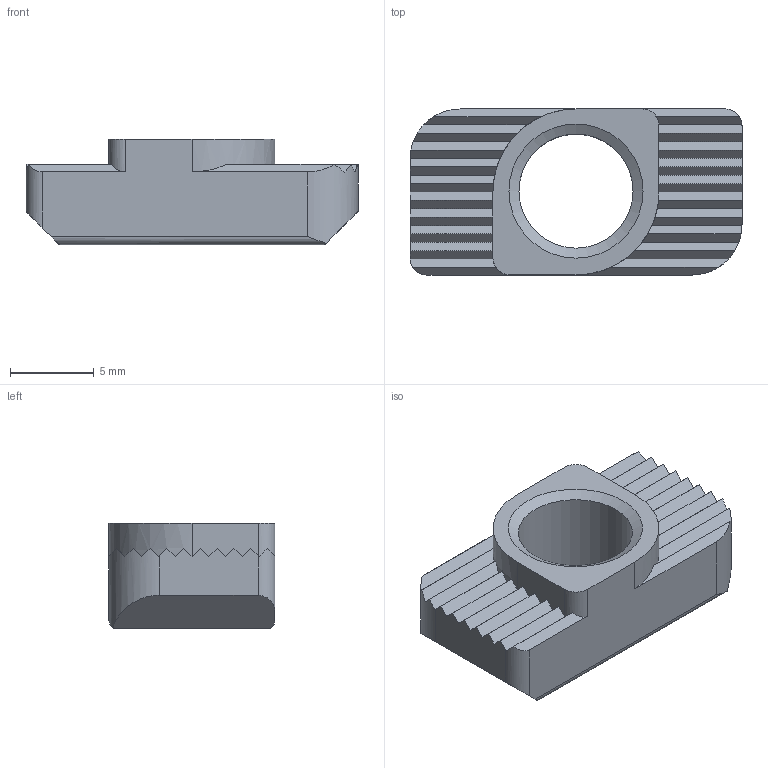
import cadquery as cq
import math

LENGTH = 19.8
WIDTH = 9.9
HEIGHT = 6.3

BODY_HEIGHT = 4.8
BODY_LARGE_RADIUS = 3.0
SMALL_RADIUS = 1.0
END_CHAMFER = 2.0
EDGE_RADIUS = 0.5

TOOTH_PITCH = 1.0
TOOTH_DEPTH = 0.5
GROOVE_COUNT = 11

BOSS_SIZE = WIDTH
BOSS_BASE = END_CHAMFER
HOLE_DIAMETER = 6.8
HOLE_OFFSET_Y = 0.05
COUNTERSINK_DIAMETER = 8.0
COUNTERSINK_ANGLE = 120


def round_edge_at(solid, point, radius):
    """Round the edge whose middle is nearest to the point."""
    return solid.edges(cq.selectors.NearestToPointSelector(point)).fillet(radius)


def turning_block(length, width, height, large_radius, small_radius):
    """Block whose diagonally opposite corners share a radius."""
    half_x = length / 2
    half_y = width / 2
    block = cq.Workplane("XY").rect(length, width).extrude(height)
    for side in (-1, 1):
        large_corner = (side * half_x, -side * half_y, height / 2)
        small_corner = (side * half_x, side * half_y, height / 2)
        block = round_edge_at(block, large_corner, large_radius)
        block = round_edge_at(block, small_corner, small_radius)
    return block


def end_cut_prism():
    """Full-width prism with the 45 degree cuts under both ends."""
    half = LENGTH / 2
    return (
        cq.Workplane("XZ")
        .moveTo(-half + END_CHAMFER, 0)
        .lineTo(half - END_CHAMFER, 0)
        .lineTo(half, END_CHAMFER)
        .lineTo(half, BODY_HEIGHT)
        .lineTo(-half, BODY_HEIGHT)
        .lineTo(-half, END_CHAMFER)
        .close()
        .extrude(WIDTH / 2, both=True)
    )


def rounded_edge_prism():
    """Full-length prism with the long bottom edges rounded."""
    return (
        cq.Workplane("XY")
        .rect(LENGTH, WIDTH)
        .extrude(BODY_HEIGHT)
        .edges("|X and <Z")
        .fillet(EDGE_RADIUS)
    )


def cut_grooves(body):
    """Cut the V grooves that leave a row of pointed teeth on the top face."""
    half_pitch = TOOTH_PITCH / 2
    for index in range(GROOVE_COUNT):
        y = (index - GROOVE_COUNT // 2) * TOOTH_PITCH
        groove = (
            cq.Workplane("YZ")
            .moveTo(y - half_pitch, BODY_HEIGHT)
            .lineTo(y, BODY_HEIGHT - TOOTH_DEPTH)
            .lineTo(y + half_pitch, BODY_HEIGHT)
            .close()
            .extrude(LENGTH / 2, both=True)
        )
        body = body.cut(groove)
    return body


def make_body():
    """Serrated body, from the base block trimmed underneath."""
    block = turning_block(LENGTH, WIDTH, BODY_HEIGHT, BODY_LARGE_RADIUS, SMALL_RADIUS)
    return cut_grooves(block.intersect(end_cut_prism()).intersect(rounded_edge_prism()))


def make_boss():
    """Square boss with two opposite corners rounded to a full half-width radius."""
    half = BOSS_SIZE / 2
    diagonal = half * math.cos(math.radians(45))
    boss = (
        cq.Workplane("XY")
        .moveTo(-half, 0)
        .threePointArc((-diagonal, diagonal), (0, half))
        .lineTo(half, half)
        .lineTo(half, 0)
        .threePointArc((diagonal, -diagonal), (0, -half))
        .lineTo(-half, -half)
        .close()
        .extrude(HEIGHT - BOSS_BASE)
        .translate((0, 0, BOSS_BASE))
    )
    middle_z = (BOSS_BASE + HEIGHT) / 2
    for side in (-1, 1):
        boss = round_edge_at(boss, (side * half, side * half, middle_z), SMALL_RADIUS)
    return boss


def cut_hole(part):
    """Through hole along Z with a shallow countersink on the boss."""
    boss_top = part.faces(">Z").workplane(origin=(0, HOLE_OFFSET_Y, HEIGHT))
    return boss_top.cskHole(HOLE_DIAMETER, COUNTERSINK_DIAMETER, COUNTERSINK_ANGLE)


result = cut_hole(make_body().union(make_boss()))